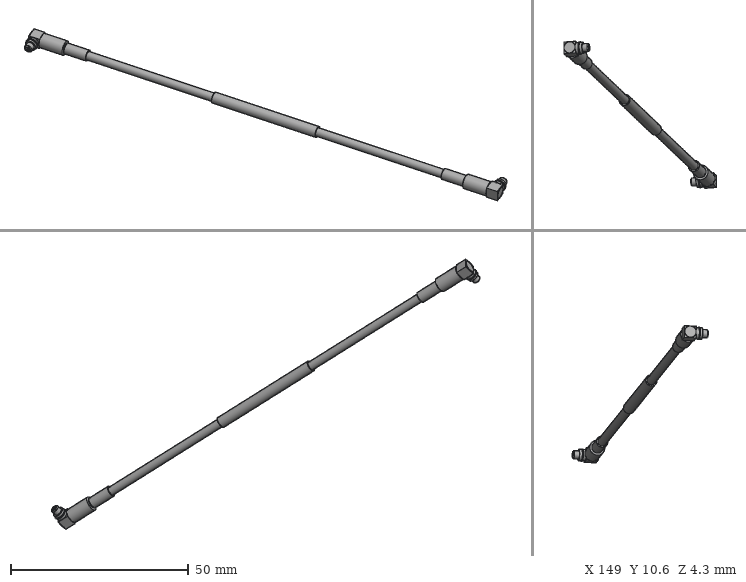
import cadquery as cq

assembly_length = 149.0
assembly_width = 10.6

head_length = 3.5
head_width = 3.5
cap_diameter = 3.3
cap_thickness = 0.1

flange_diameter = 3.6
flange_reach = 2.8
flange_thickness = 0.3
collar_diameter = 3.3
collar_reach = 3.6
nose_diameter = 2.4
nose_chamfer = 0.3
socket_diameter = 1.3
socket_depth = 1.5
pin_diameter = 0.5

ferrule_diameter = 4.3
ferrule_length = 7.3

boot_diameter = 3.3
boot_length = 6.9
boot_gap = 0.3

cable_diameter = 2.5
label_diameter = 3.3
label_length = 32.8

plug_station = flange_diameter / 2
cap_start = plug_station - collar_diameter / 2
head_start = cap_start + cap_thickness
ferrule_start = head_start + head_length
boot_start = ferrule_start + ferrule_length + boot_gap
half_length = assembly_length / 2
plug_reach = assembly_width / 2
cable_length = assembly_length - 2 * ferrule_start


def rod(start, length, diameter):
    """Solid cylinder along X whose near end is at x = start."""
    return cq.Workplane("YZ", origin=(start, 0, 0)).circle(diameter / 2).extrude(length)


def sleeve(start, length, diameter):
    """Tube along X that fits over the cable."""
    return rod(start, length, diameter).cut(rod(start, length, cable_diameter))


def make_cable():
    return rod(-cable_length / 2, cable_length, cable_diameter)


def make_label():
    return sleeve(-label_length / 2, label_length, label_diameter)


def make_ferrule():
    return sleeve(ferrule_start - half_length, ferrule_length, ferrule_diameter)


def make_boot():
    return sleeve(boot_start - half_length, boot_length, boot_diameter)


def plug_cylinder(diameter, start, end):
    """Cylinder on the plug axis, between two distances from the cable axis toward -Y."""
    plug_origin = (plug_station - half_length, -start, 0)
    return cq.Workplane("XZ", origin=plug_origin).circle(diameter / 2).extrude(end - start)


def make_plug():
    """Stepped round plug with a locating flange, an open socket and a contact pin."""
    collar = plug_cylinder(collar_diameter, 0, collar_reach)
    flange = plug_cylinder(flange_diameter, flange_reach - flange_thickness, flange_reach)
    nose = plug_cylinder(nose_diameter, 0, plug_reach).faces("<Y").chamfer(nose_chamfer)
    socket = plug_cylinder(socket_diameter, plug_reach - socket_depth, plug_reach)
    pin = plug_cylinder(pin_diameter, 0, plug_reach)
    return collar.union(flange).union(nose).cut(socket).union(pin)


def make_connector():
    """Right-angle connector at the -X end: capped square head with a round plug toward -Y."""
    cap = rod(cap_start - half_length, cap_thickness, cap_diameter)
    head = cq.Workplane("XY").box(head_length, head_width, head_width)
    head = head.translate((head_start + head_length / 2 - half_length, 0, 0))
    return head.union(cap).union(make_plug())


def both_ends(make_body):
    """Solids for the -X end and for the +X end, the latter turned half a turn about Z."""
    solids = []
    for turn in (0, 180):
        solids.append(make_body().rotate((0, 0, 0), (0, 0, 1), turn).val())
    return solids


cable = make_cable()
label = make_label()
connectors = both_ends(make_connector)
ferrules = both_ends(make_ferrule)
boots = both_ends(make_boot)

result = cq.Compound.makeCompound([cable.val(), label.val(), *connectors, *ferrules, *boots])